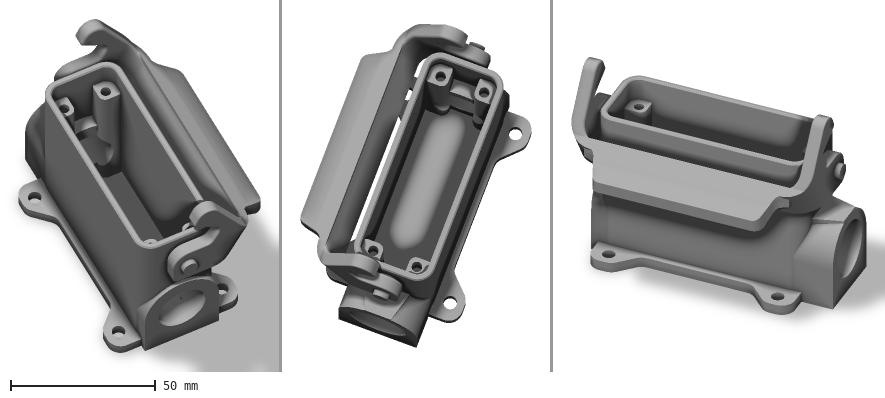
import cadquery as cq
import math


body_length = 79.2
body_width = 29.4
body_height = 56.6
body_corner_radius = 6.4
wall = 2.4
rim_chamfer = 0.5
cavity_length = body_length - 2 * wall
cavity_width = body_width - 2 * wall

flange_thickness = 3.9
flange_half_length = 38.4
flange_half_width = 25.0
flange_waist_half_width = 17.0
flange_lug_flat_x = 28.9
flange_radius = 5.0
screw_x = 31.9
screw_y = 20.0
screw_diameter = 4.7

boss_radius = 14.4
boss_axis_z = 16.7
boss_left_x = -50.3
boss_right_x = 41.1
boss_inner_x = 32.5
bore_diameter = 18.2
wide_bore_diameter = 21.0
wide_bore_depth = 11.5
pad_outer_half_width = 5.0
pad_inner_half_width = 7.9

post_top_z = 47.8
post_inner_x = 29.7
post_inner_y = 4.9
post_corner_radius = 2.45
post_draft = 0.8
post_hole_x = 32.9
post_hole_y = 8.0
post_hole_diameter = 3.6
post_hole_depth = 9.8

pin_diameter = 5.7
pin_z = 48.0
pin_end_x = 47.7
lever_outer_x = 45.7
lever_inner_x = 40.7
lever_bottom_z = 40.8
lever_back_tilt = 30.0
lever_back_inner_y = 17.2
lever_back_thickness = 3.1
lever_outer_bend = 9.8
lever_inner_bend = 5.9
lever_inner_fillet = 0.9
lever_outer_fillet = 0.4
lever_arm_reach = 58.8
lever_long_end_z = 19.6
lever_inner_back_limit_y = 24.9

lever_crease = (23.9, 53.6)
tab_crease = (30.5, 48.7)
tab_tip_y = 36.3
tab_tip_top_z = 45.0

arm_corners = [
    (-5.8, lever_bottom_z, 2.0),
    (-5.8, 54.7, 6.4),
    (9.1, 54.7, 3.1),
    (13.5, 61.9, 3.1),
    (2.3, 68.5, 1.2),
    (7.4, 79.4, 4.6),
    (*lever_crease, 0),
    (*tab_crease, 0),
    (tab_crease[0], lever_bottom_z, 0),
]

tab_side_corners = [
    (*lever_crease, 0),
    (*tab_crease, 0),
    (tab_tip_y, tab_tip_top_z, 0),
    (tab_tip_y, lever_bottom_z, 0),
    (33.2, lever_bottom_z, 0),
    (26.95, 46.4, 2.0),
    (23.0, 47.6, 0),
]

tab_plan_corners = [
    (31.1, tab_tip_y, 3.1),
    (34.5, 27.2, 3.9),
    (38.7, 25.8, 0),
    (37.8, 19.6, 0),
]


def rounded_outline(plane, corners):
    """Closed polygon on a plane, each corner given as (u, v, radius)."""
    stops = []
    for i, (u, v, radius) in enumerate(corners):
        if not radius:
            stops.append([(u, v)])
            continue
        corner = cq.Vector(u, v)
        before = (cq.Vector(*corners[i - 1][:2]) - corner).normalized()
        after = (cq.Vector(*corners[(i + 1) % len(corners)][:2]) - corner).normalized()
        half_angle = before.getAngle(after) / 2
        tangent_length = radius / math.tan(half_angle)
        mid_distance = radius / math.sin(half_angle) - radius
        middle = corner + (before + after).normalized() * mid_distance
        start = corner + before * tangent_length
        end = corner + after * tangent_length
        stops.append([(p.x, p.y) for p in (start, middle, end)])
    outline = cq.Workplane(plane).moveTo(*stops[0][-1])
    for stop in stops[1:] + stops[:1]:
        outline = outline.lineTo(*stop[0])
        if len(stop) == 3:
            outline = outline.threePointArc(stop[1], stop[2])
    return outline.close()


def corner_positions(x, y):
    return [(x, y), (-x, y), (x, -y), (-x, -y)]


def mirrored_in_x(corners):
    """Half outline followed by its mirror image, in loop order."""
    return corners + [(-u, v, r) for u, v, r in reversed(corners)]


def rounded_block(length, width, radius, bottom, top):
    block = cq.Workplane("XY").workplane(offset=bottom).rect(length, width).extrude(top - bottom)
    return block.edges("|Z").fillet(radius)


def make_flange():
    waist_x = flange_lug_flat_x - (flange_half_width - flange_waist_half_width)
    right_half = [
        (waist_x, flange_waist_half_width, flange_radius),
        (flange_lug_flat_x, flange_half_width, flange_radius),
        (flange_half_length, flange_half_width, flange_radius),
        (flange_half_length, -flange_half_width, flange_radius),
        (flange_lug_flat_x, -flange_half_width, flange_radius),
        (waist_x, -flange_waist_half_width, flange_radius),
    ]
    flange = rounded_outline("XY", mirrored_in_x(right_half)).extrude(flange_thickness)
    holes = cq.Workplane("XY").pushPoints(corner_positions(screw_x, screw_y))
    return flange.cut(holes.circle(screw_diameter / 2).extrude(flange_thickness))


def make_boss(start_x, end_x):
    """Block with a half-round top, running along X."""
    arch = cq.Workplane("YZ").workplane(offset=start_x).moveTo(-boss_radius, 0)
    arch = arch.lineTo(boss_radius, 0).lineTo(boss_radius, boss_axis_z)
    arch = arch.threePointArc((0, boss_axis_z + boss_radius), (-boss_radius, boss_axis_z)).close()
    return arch.extrude(end_x - start_x)


def make_pad():
    """Flat pad on top of the left boss, widening toward the housing."""
    body_end_x = -body_length / 2
    pad = cq.Workplane("XY").workplane(offset=boss_axis_z).polyline([
        (boss_left_x, -pad_outer_half_width),
        (body_end_x, -pad_inner_half_width),
        (body_end_x, pad_inner_half_width),
        (boss_left_x, pad_outer_half_width),
    ])
    return pad.close().extrude(boss_radius)


def make_posts():
    """Drafted corner posts with blind holes, wider at the floor."""
    outer_x = cavity_length / 2 + wall / 2
    outer_y = cavity_width / 2 + wall / 2
    half_size = ((outer_x - post_inner_x) / 2, (outer_y - post_inner_y) / 2)
    centers = corner_positions(outer_x - half_size[0], outer_y - half_size[1])
    posts = cq.Workplane("XY")
    for center in centers:
        section = cq.Sketch().rect(2 * half_size[0], 2 * half_size[1]).vertices().fillet(post_corner_radius)
        post = cq.Workplane("XY", origin=(*center, post_top_z)).placeSketch(section)
        posts = posts.add(post.extrude(-(post_top_z - wall), taper=-post_draft))
    posts = posts.combine()
    holes = cq.Workplane("XY").workplane(offset=post_top_z - post_hole_depth)
    holes = holes.pushPoints(corner_positions(post_hole_x, post_hole_y))
    return posts.cut(holes.circle(post_hole_diameter / 2).extrude(post_hole_depth))


def make_housing():
    shell = rounded_block(body_length, body_width, body_corner_radius, 0, body_height)
    shell = shell.faces(">Z").edges().chamfer(rim_chamfer)
    cavity = rounded_block(
        cavity_length, cavity_width, body_corner_radius - wall, wall, body_height + wall)
    left_outside = make_boss(boss_left_x, 0).union(make_pad())
    right_outside = make_boss(0, boss_right_x)
    housing = shell.union(left_outside).union(right_outside).union(make_flange()).cut(cavity)
    rim_edges = cq.selectors.BoxSelector(
        (-cavity_length / 2 - 0.1, -cavity_width / 2 - 0.1, body_height - 0.1),
        (cavity_length / 2 + 0.1, cavity_width / 2 + 0.1, body_height + 0.1), boundingbox=True)
    housing = housing.edges(rim_edges).chamfer(rim_chamfer)

    inside = make_boss(-body_length / 2, -boss_inner_x)
    inside = inside.union(make_boss(boss_inner_x, body_length / 2))
    inside = inside.union(make_posts()).intersect(cavity)
    housing = housing.union(inside)

    for diameter, depth in ((bore_diameter, boss_right_x - boss_left_x), (wide_bore_diameter, wide_bore_depth)):
        bore = cq.Workplane("YZ", origin=(boss_left_x, 0, boss_axis_z)).circle(diameter / 2)
        housing = housing.cut(bore.extrude(depth))
    return housing


def make_lever_bar():
    """U-shaped bar: two side walls joined by a back plate, tilted about X."""
    slope = math.radians(lever_back_tilt)
    plane = cq.Plane(
        origin=(0, lever_back_inner_y, lever_bottom_z),
        xDir=(1, 0, 0),
        normal=(0, math.sin(slope), math.cos(slope)),
    )
    outer_corners = [
        (lever_outer_x, lever_back_thickness, lever_outer_bend),
        (lever_outer_x, -lever_arm_reach, 0),
    ]
    inner_corners = [
        (lever_inner_x, 0, lever_inner_bend),
        (lever_inner_x, -lever_arm_reach, 0),
    ]
    outer = rounded_outline(plane, mirrored_in_x(outer_corners)).extrude(lever_arm_reach, both=True)
    inner = rounded_outline(plane, mirrored_in_x(inner_corners)).extrude(lever_arm_reach, both=True)
    return outer.cut(inner)


def extrude_across(corners):
    """Side outline extruded over the full width of the lever."""
    return rounded_outline("YZ", corners).extrude(lever_outer_x, both=True)


def upper_edges_within(min_x, max_x, max_y):
    """Selects lever edges that lie fully in an X range, short of max_y and above the long lower end."""
    margin = 0.1
    return cq.selectors.BoxSelector(
        (min_x - margin, -lever_arm_reach, lever_long_end_z + margin),
        (max_x + margin, max_y, pin_z + lever_arm_reach),
        boundingbox=True,
    )


def make_lever():
    front_y = arm_corners[0][0]
    back_y = arm_corners[-1][0]
    long_corners = [(front_y, lever_long_end_z, 0), *arm_corners[1:-1], (back_y, lever_long_end_z, 0)]
    lever = make_lever_bar().intersect(extrude_across(long_corners))
    inner_edges = upper_edges_within(-lever_inner_x, lever_inner_x, lever_inner_back_limit_y)
    lever = lever.edges(inner_edges).fillet(lever_inner_fillet)
    for side in (-1, 1):
        outer_edges = upper_edges_within(side * lever_outer_x, side * lever_outer_x, lever_arm_reach)
        lever = lever.edges(outer_edges).fillet(lever_outer_fillet)
    lever = lever.intersect(extrude_across(arm_corners))
    tab = rounded_outline("XY", mirrored_in_x(tab_plan_corners)).extrude(body_height)
    tab = tab.intersect(extrude_across(tab_side_corners))
    return lever.union(tab)


def make_pins():
    pins = cq.Workplane("XY")
    for side in (-1, 1):
        start_x = side * (body_length - wall) / 2
        pin = cq.Workplane("YZ", origin=(start_x, 0, pin_z)).circle(pin_diameter / 2)
        pins = pins.add(pin.extrude(side * pin_end_x - start_x))
    return pins.combine()


result = make_housing().union(make_pins()).union(make_lever())